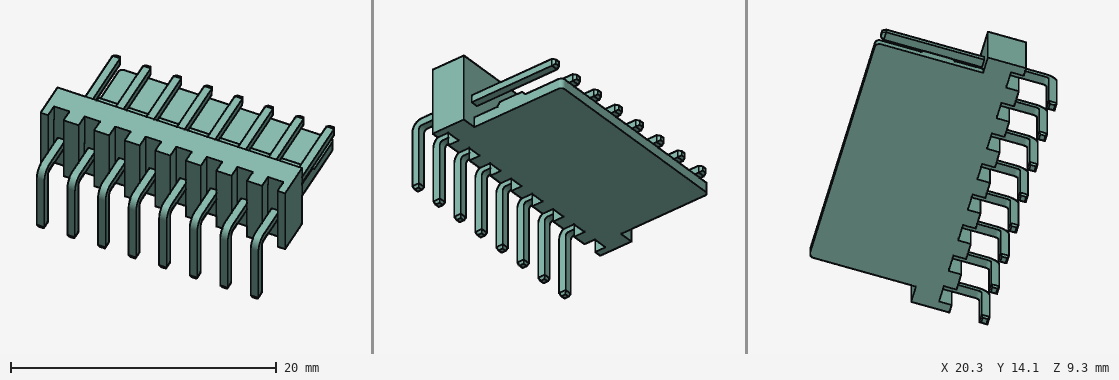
import cadquery as cq


pin_count = 8
pitch = 2.54
row_length = pin_count * pitch

block_depth = 3.0
block_height = 5.9
slot_width = 1.28
slot_depth_bottom = 1.0
slot_depth_top = 1.05

shelf_inset = pitch / 2
shelf_width = row_length - 2 * shelf_inset
shelf_length = 8.4
shelf_thickness = 0.9
shelf_corner_radius = 0.35

ridge_start = 2.2
ridge_end = 4.88
ridge_rear_slope = 0.25
ridge_front_slope = 0.3
ridge_height = 0.35

pin_size = 0.64
pin_center_height = 2.43
pin_tip_setback = 0.42
leg_overhang = 2.7
leg_drop = 3.4
bend_inner_radius = 0.3
bend_outer_radius = bend_inner_radius + pin_size
tip_length = 0.28
tip_inset = 0.12


def pin_positions():
    return [(i - (pin_count - 1) / 2) * pitch for i in range(pin_count)]


def make_block():
    block = cq.Workplane("XY").box(
        row_length, block_depth, block_height, centered=(True, False, False)
    )
    block = block.translate((0, -block_depth, 0))
    slot = (
        cq.Workplane("YZ")
        .polyline([
            (0, 0),
            (slot_depth_bottom, 0),
            (slot_depth_top, block_height),
            (0, block_height),
        ])
        .close()
        .extrude(slot_width / 2, both=True)
    )
    for x in pin_positions():
        block = block.cut(slot.translate((x, -block_depth, 0)))
    return block


def make_shelf():
    shelf = cq.Workplane("XY").box(
        shelf_width, shelf_length, shelf_thickness, centered=(True, False, False)
    )
    shelf = shelf.edges("|Z and >Y").fillet(shelf_corner_radius)
    ridge_top = shelf_thickness + ridge_height
    ridge = (
        cq.Workplane("YZ")
        .polyline([
            (ridge_start, shelf_thickness),
            (ridge_start + ridge_rear_slope, ridge_top),
            (ridge_end - ridge_front_slope, ridge_top),
            (ridge_end, shelf_thickness),
        ])
        .close()
        .extrude(shelf_width / 2, both=True)
    )
    return shelf.union(ridge)


def make_tip(plane):
    """Taper from the full pin section, pointing along the plane's normal."""
    end_size = pin_size - 2 * tip_inset
    return (
        cq.Workplane(plane)
        .rect(pin_size, pin_size)
        .workplane(offset=tip_length)
        .rect(end_size, end_size)
        .loft(ruled=True)
    )


def make_pin():
    tip_base_y = shelf_length - pin_tip_setback - tip_length
    tip_base_z = -leg_drop + tip_length
    leg_outer_y = -block_depth - leg_overhang
    leg_inner_y = leg_outer_y + pin_size
    bend_y = leg_outer_y + bend_outer_radius
    pin_top = pin_center_height + pin_size / 2
    pin_bottom = pin_top - pin_size
    bend_z = pin_top - bend_outer_radius
    body = (
        cq.Workplane("YZ")
        .moveTo(tip_base_y, pin_top)
        .lineTo(bend_y, pin_top)
        .radiusArc((leg_outer_y, bend_z), -bend_outer_radius)
        .lineTo(leg_outer_y, tip_base_z)
        .lineTo(leg_inner_y, tip_base_z)
        .lineTo(leg_inner_y, bend_z)
        .radiusArc((bend_y, pin_bottom), bend_inner_radius)
        .lineTo(tip_base_y, pin_bottom)
        .close()
        .extrude(pin_size / 2, both=True)
    )
    mating_plane = cq.Plane((0, tip_base_y, pin_center_height), (1, 0, 0), (0, 1, 0))
    leg_plane = cq.Plane((0, leg_outer_y + pin_size / 2, tip_base_z), (1, 0, 0), (0, 0, -1))
    return body.union(make_tip(mating_plane)).union(make_tip(leg_plane))


header = make_block().union(make_shelf())
pin = make_pin()
for x in pin_positions():
    header = header.union(pin.translate((x, 0, 0)))

result = header